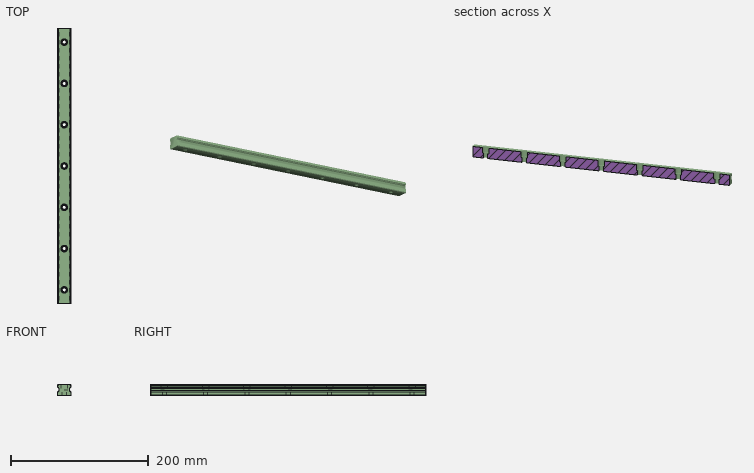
import cadquery as cq
import math

RAIL_WIDTH = 20.0
RAIL_LENGTH = 400.0
RAIL_HEIGHT = 16.5

BASE_CHAMFER = 1.0
TOP_CHAMFER = 1.65
WAIST_WIDTH = 15.4
WAIST_BOTTOM = 7.4
WAIST_TOP = 10.5

GROOVE_CHORD = 1.4
GROOVE_DEPTH = 0.2
UPPER_GROOVE_START = 0.45
LOWER_GROOVE_START = 1.6

HOLE_PITCH = 60.0
HOLE_COUNT = 7
HOLE_DIAMETER = 6.0
COUNTERBORE_DIAMETER = 9.5
COUNTERBORE_DEPTH = 8.5


def flank_with_groove(sketch, start, end, groove_start):
    """Draw a straight flank from start to end, interrupted by one concave groove.

    The material lies to the left of the direction of travel.
    """
    length = math.dist(start, end)
    along_x = (end[0] - start[0]) / length
    along_z = (end[1] - start[1]) / length

    def flank_point(distance, depth=0):
        return (
            start[0] + along_x * distance - along_z * depth,
            start[1] + along_z * distance + along_x * depth,
        )

    groove_end = groove_start + GROOVE_CHORD
    groove_middle = (groove_start + groove_end) / 2
    return (
        sketch.lineTo(*flank_point(groove_start))
        .threePointArc(flank_point(groove_middle, GROOVE_DEPTH), flank_point(groove_end))
        .lineTo(*end)
    )


def make_rail():
    """Extrude the +X half of the cross-section, centred on Y, and mirror it about X = 0."""
    half_width = RAIL_WIDTH / 2
    half_waist = WAIST_WIDTH / 2
    waist_depth = half_width - half_waist

    sketch = (
        cq.Workplane("XZ")
        .lineTo(half_width - BASE_CHAMFER, 0)
        .lineTo(half_width, BASE_CHAMFER)
        .lineTo(half_width, WAIST_BOTTOM - waist_depth)
        .lineTo(half_waist, WAIST_BOTTOM)
        .lineTo(half_waist, WAIST_TOP)
    )
    head_bottom = (half_width, WAIST_TOP + waist_depth)
    sketch = flank_with_groove(sketch, (half_waist, WAIST_TOP), head_bottom, LOWER_GROOVE_START)

    chamfer_bottom = (half_width, RAIL_HEIGHT - TOP_CHAMFER)
    chamfer_top = (half_width - TOP_CHAMFER, RAIL_HEIGHT)
    sketch = sketch.lineTo(*chamfer_bottom)
    sketch = flank_with_groove(sketch, chamfer_bottom, chamfer_top, UPPER_GROOVE_START)

    half_rail = sketch.lineTo(0, RAIL_HEIGHT).close().extrude(RAIL_LENGTH / 2, both=True)
    return half_rail.union(half_rail.mirror("YZ")).clean()


def drill_mounting_holes(rail):
    """Cut the row of counterbored through holes along the centre line of the top."""
    return (
        rail.faces(">Z")
        .workplane(origin=(0, 0, RAIL_HEIGHT))
        .rarray(1, HOLE_PITCH, 1, HOLE_COUNT)
        .cboreHole(HOLE_DIAMETER, COUNTERBORE_DIAMETER, COUNTERBORE_DEPTH)
    )


result = drill_mounting_holes(make_rail())